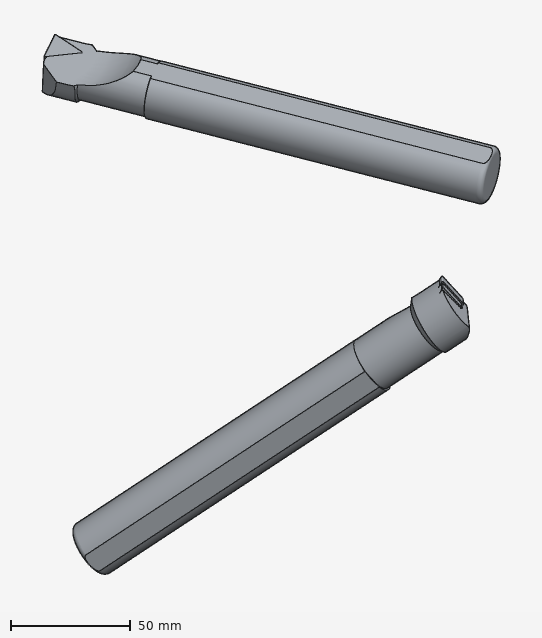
import cadquery as cq
import math


bar_end = 200.0
shank_start = 50.0
shank_radius = 12.5
neck_radius = 12.1
neck_center_y = shank_radius - neck_radius
flat_height = 11.5
end_fillet = 2.5

head_radius = 14.0
head_center_y = 1.5
head_center_z = -0.3
head_front = 1.5
head_back = 20.0
corner_chamfer_y = -3.0
corner_fillet = 4.0

rake_angle = 6.0
rake_height = 1.9

scoop_center_x = -3.2
scoop_floor_radius = 22.8
scoop_rim_radius = 45.8
scoop_rim_height = 9.5
scoop_start_slope = 5.0
clearance = 20.0

insert_tip = (-0.02, 16.83)
insert_inner_corner = (15.0, 9.8)
insert_front_corner = (0.5, 1.0)
insert_thickness = 3.8
base_thickness = 3.0
base_inset = 0.5
nose_radius = 0.4


def rake_plane(depth=0.0):
    """Plane parallel to the rake face, the given depth below it."""
    angle = math.radians(rake_angle)
    normal = (0, math.sin(angle), math.cos(angle))
    origin = (0, -depth * normal[1], rake_height - depth * normal[2])
    return cq.Plane(origin=origin, xDir=(1, 0, 0), normal=normal)


def cylinder_along_x(radius, start, end, center_y=0.0):
    return cq.Workplane("YZ", origin=(start, center_y, 0)).circle(radius).extrude(end - start)


def flat_cutter(side):
    """Block that cuts the top (side = 1) or bottom (side = -1) flat along the whole bar."""
    block = cq.Workplane("XY").box(2 * bar_end, 4 * shank_radius, clearance)
    return block.translate((bar_end, 0, side * (flat_height + clearance / 2)))


def make_bar():
    """Neck with a top flat and shank with two flats."""
    shank = cylinder_along_x(shank_radius, shank_start, bar_end).faces(">X").edges().fillet(end_fillet)
    shank = shank.cut(flat_cutter(1)).cut(flat_cutter(-1))
    neck = cylinder_along_x(neck_radius, head_back, shank_start, neck_center_y).cut(flat_cutter(1))
    return shank.union(neck)


def make_head():
    head = (
        cq.Workplane("YZ")
        .center(head_center_y, head_center_z)
        .moveTo(-head_radius, flat_height)
        .lineTo(-head_radius, 0)
        .threePointArc((0, -head_radius), (head_radius, 0))
        .lineTo(head_radius, flat_height)
        .close()
        .extrude(head_back)
    )
    back_cone = (
        cq.Workplane("XY")
        .polyline([(0, 0), (0, neck_radius + head_back), (head_back, neck_radius), (head_back, 0)])
        .close()
        .revolve(360, (0, 0, 0), (1, 0, 0))
        .translate((0, neck_center_y, 0))
    )
    corner_run = corner_chamfer_y + clearance
    front_outline = (
        cq.Workplane(rake_plane())
        .polyline([
            (head_front, 2 * clearance),
            (head_front, corner_chamfer_y),
            (head_front + corner_run, -clearance),
            (2 * clearance, -clearance),
            (2 * clearance, 2 * clearance),
        ])
        .close()
        .extrude(clearance, both=True)
    )
    corner = cq.Vector(head_front, corner_chamfer_y, 0)
    corner_edge = cq.selectors.NearestToPointSelector(rake_plane().toWorldCoords(corner).toTuple())
    front_outline = front_outline.edges(corner_edge).fillet(corner_fillet)
    return head.intersect(back_cone).intersect(front_outline)


def make_scoop():
    """Cutter with a flat floor on the rake plane and a concave rim rising toward the shank."""
    cutter = (
        cq.Workplane("XZ")
        .lineTo(scoop_floor_radius, 0)
        .threePointArc(rim_midpoint(), (scoop_rim_radius, scoop_rim_height))
        .lineTo(scoop_rim_radius, clearance)
        .lineTo(0, clearance)
        .close()
        .revolve(360, (0, 0, 0), (0, 1, 0))
    )
    return (
        cutter.translate((scoop_center_x, 0, 0))
        .rotate((0, 0, 0), (1, 0, 0), -rake_angle)
        .translate((0, 0, rake_height))
    )


def rim_midpoint():
    """Middle of the rim arc that leaves the scoop floor at its start slope."""
    slope = math.radians(scoop_start_slope)
    run = scoop_rim_radius - scoop_floor_radius
    chord = math.hypot(run, scoop_rim_height)
    chord_slope = math.atan2(scoop_rim_height, run)
    sag = chord / 2 * math.tan((chord_slope - slope) / 2)
    return (
        scoop_floor_radius + run / 2 + sag * math.sin(chord_slope),
        scoop_rim_height / 2 - sag * math.cos(chord_slope),
    )


def make_insert():
    """Triangular insert on a slightly smaller triangular base."""
    corners = [insert_tip, insert_inner_corner, insert_front_corner]
    plate = (
        cq.Workplane(rake_plane())
        .polyline(corners)
        .close()
        .extrude(-insert_thickness)
        .edges(cq.selectors.ParallelDirSelector(rake_plane().zDir))
        .fillet(nose_radius)
    )
    base = (
        cq.Workplane(rake_plane(insert_thickness))
        .polyline(corners)
        .close()
        .offset2D(-base_inset, "intersection")
        .extrude(-base_thickness)
    )
    return plate.union(base)


insert = make_insert()
holder = make_bar().union(make_head()).cut(make_scoop()).cut(insert)

result = cq.Compound.makeCompound([holder.val(), insert.val()])